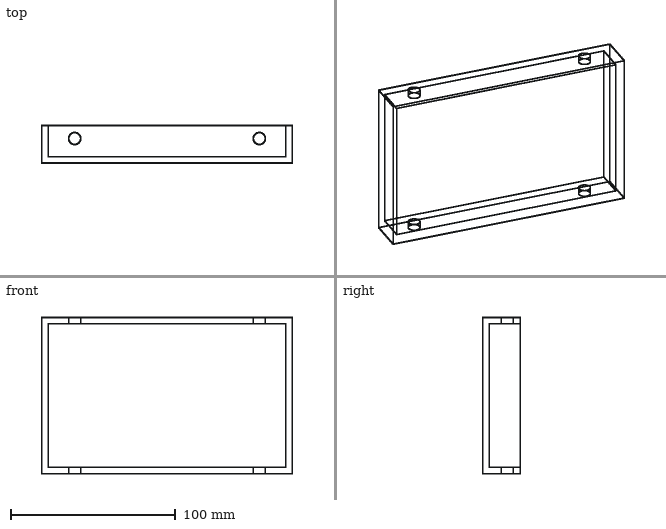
import cadquery as cq

length = 152.0
depth = 23.0
height = 95.0

wall = 4.0

hole_diameter = 7.1
hole_spacing = 112.0
hole_to_back = 8.0


def hollow_box():
    """Front panel with four side walls, open at the back (+Y)."""
    block = cq.Workplane("XY").box(length, depth, height)
    return block.faces(">Y").shell(-wall)


def mounting_holes():
    """Vertical cutters, mirrored about the middle of the length."""
    hole_y = depth / 2 - hole_to_back
    centers = [(side * hole_spacing / 2, hole_y) for side in (-1, 1)]
    return (
        cq.Workplane("XY")
        .workplane(offset=-height / 2)
        .pushPoints(centers)
        .circle(hole_diameter / 2)
        .extrude(height)
    )


result = hollow_box().cut(mounting_holes())